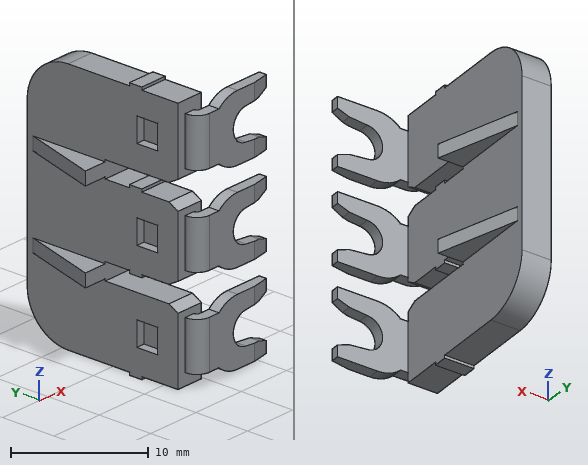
import cadquery as cq
import math

finger_count = 3
finger_height = 6.6
slot_height = 1.55
finger_pitch = finger_height + slot_height
plate_height = finger_count * finger_height + (finger_count - 1) * slot_height
plate_thickness = 2.6
plate_length = 14.67
corner_radius = 4.0
front_y = 0.0
back_y = front_y + plate_length
plate_left_x = -plate_thickness / 2

slot_end_y = back_y - 7.6
mouth_depth = 0.88
mouth_flare = 0.5

bump_length = 1.2
bump_height = 0.25
bump_center_y = front_y + 4.12

fin_width = 7.0
fin_height = 1.2
fin_tip_y = back_y - 0.57

pocket_length = 2.0
pocket_height = 2.2
pocket_center_y = front_y + 3.0

strip_thickness = 1.0
strip_left_x = plate_left_x + 0.8
strip_front_y = front_y - 1.3
bend_inner_radius = 0.2
bend_outer_radius = bend_inner_radius + strip_thickness
neck_height = 4.4
fork_height = 6.0
fork_center_x = plate_left_x + 5.1
fork_end_x = plate_left_x + 8.64
fork_fold_x = plate_left_x + 7.0
tip_taper = 0.3
throat_radius = 1.45
throat_center_x = plate_left_x + 4.65 + throat_radius
throat_arc_end_angle = math.radians(87)
mouth_start_x = fork_fold_x + 0.6
mouth_start_gap = 3.2
mouth_end_gap = 3.96

pocket_depth = strip_left_x - plate_left_x
finger_centers = [(i - (finger_count - 1) / 2) * finger_pitch for i in range(finger_count)]
slot_centers = [z + finger_pitch / 2 for z in finger_centers[:-1]]


def box(x_size, y_size, z_size, center):
    return cq.Workplane("XY").box(x_size, y_size, z_size).translate(center)


def make_slot(z):
    """Cutter for one slot: straight walls with a flared mouth at the front edge."""
    half = slot_height / 2
    mouth_half = half + mouth_flare
    outline = [
        (slot_end_y, z - half),
        (slot_end_y, z + half),
        (front_y + mouth_depth, z + half),
        (front_y, z + mouth_half),
        (front_y, z - mouth_half),
        (front_y + mouth_depth, z - half),
    ]
    return cq.Workplane("YZ").polyline(outline).close().extrude(plate_thickness / 2, both=True)


def make_bump(z):
    """Bump centred on the finger edge at height z, half sunk into the finger."""
    return box(plate_thickness, bump_length, 2 * bump_height, (0, bump_center_y, z))


def make_plate():
    plate = box(plate_thickness, plate_length, plate_height, (0, front_y + plate_length / 2, 0))
    plate = plate.edges("|X and >Y").fillet(corner_radius)
    for z in slot_centers:
        plate = plate.cut(make_slot(z))
    for edge_z in (finger_height / 2, plate_height / 2):
        plate = plate.union(make_bump(edge_z)).union(make_bump(-edge_z))
    return plate


def make_fin(z):
    """Triangular fin: widest at the slot end, tapering to the plate surface at the back."""
    half = fin_width / 2
    outline = [
        (-half, slot_end_y),
        (half, slot_end_y),
        (plate_thickness / 2, fin_tip_y),
        (-plate_thickness / 2, fin_tip_y),
    ]
    fin = cq.Workplane("XY").polyline(outline).close().extrude(fin_height / 2, both=True)
    return fin.translate((0, 0, z))


def make_pocket(z):
    center = (plate_left_x + pocket_depth / 2, pocket_center_y, z)
    return box(pocket_depth, pocket_length, pocket_height, center)


def make_strip():
    """Bent strip, its forward leg thinned towards the tips of the fork."""
    bend_y = strip_front_y + bend_outer_radius
    bend_x = strip_left_x + bend_outer_radius
    diagonal = math.sqrt(0.5)
    outer_mid = (bend_x - bend_outer_radius * diagonal, bend_y - bend_outer_radius * diagonal)
    inner_mid = (bend_x - bend_inner_radius * diagonal, bend_y - bend_inner_radius * diagonal)
    strip_back_y = strip_front_y + strip_thickness
    profile = (
        cq.Workplane("XY")
        .moveTo(strip_left_x, front_y)
        .lineTo(strip_left_x, bend_y)
        .threePointArc(outer_mid, (bend_x, strip_front_y))
        .lineTo(fork_fold_x, strip_front_y)
        .lineTo(fork_end_x, strip_front_y + tip_taper)
        .lineTo(fork_end_x, strip_back_y)
        .lineTo(bend_x, strip_back_y)
        .threePointArc(inner_mid, (strip_left_x + strip_thickness, bend_y))
        .lineTo(strip_left_x + strip_thickness, front_y)
        .close()
    )
    return profile.extrude(fork_height / 2, both=True)


def make_fork_outline():
    """Solid with the outline of the neck and the fork, along the whole strip depth."""
    neck_half = neck_height / 2
    fork_half = fork_height / 2
    shoulder_x = fork_center_x - math.sqrt(fork_half**2 - neck_half**2)
    mid_angle = (math.asin(neck_half / fork_half) + math.pi / 2) / 2
    mid_x = fork_center_x - fork_half * math.cos(mid_angle)
    mid_z = fork_half * math.sin(mid_angle)
    outline = (
        cq.Workplane("XZ")
        .moveTo(strip_left_x, -neck_half)
        .lineTo(shoulder_x, -neck_half)
        .threePointArc((mid_x, -mid_z), (fork_center_x, -fork_half))
        .lineTo(fork_end_x, -fork_half)
        .lineTo(fork_end_x, fork_half)
        .lineTo(fork_center_x, fork_half)
        .threePointArc((mid_x, mid_z), (shoulder_x, neck_half))
        .lineTo(strip_left_x, neck_half)
        .close()
    )
    return outline.extrude(bend_outer_radius * 2, both=True)


def make_fork_gap():
    """Cutter between the prongs: round throat, slightly widening walls and a flared mouth."""
    throat_x = throat_center_x - throat_radius * math.cos(throat_arc_end_angle)
    throat_z = throat_radius * math.sin(throat_arc_end_angle)
    start_z = mouth_start_gap / 2
    end_z = mouth_end_gap / 2
    outline = (
        cq.Workplane("XZ")
        .moveTo(throat_x, throat_z)
        .threePointArc((throat_center_x - throat_radius, 0), (throat_x, -throat_z))
        .lineTo(mouth_start_x, -start_z)
        .lineTo(fork_end_x, -end_z)
        .lineTo(fork_end_x, end_z)
        .lineTo(mouth_start_x, start_z)
        .close()
    )
    return outline.extrude(bend_outer_radius * 2, both=True)


def make_terminal():
    return make_strip().intersect(make_fork_outline()).cut(make_fork_gap())


result = make_plate()
for slot_z in slot_centers:
    result = result.union(make_fin(slot_z))

terminal = make_terminal()
for finger_z in finger_centers:
    result = result.cut(make_pocket(finger_z))
    result = result.union(terminal.translate((0, 0, finger_z)))